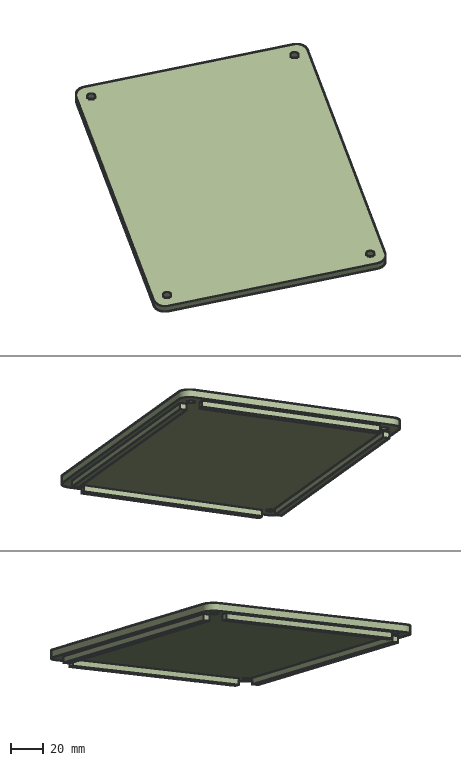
import cadquery as cq

plate_length = 192.0
plate_width = 148.0
plate_thickness = 5.0
overall_height = 9.0
corner_radius = 7.1

hole_diameter = 5.0
hole_inset = 9.0

rib_height = overall_height - plate_thickness
rib_thickness = 4.2
rib_edge_gap = 3.6
long_rib_length = 165.1
short_rib_length = 119.8


def make_plate():
    """Rounded rectangular plate with a through hole at each corner."""
    return (
        cq.Workplane("XY")
        .rect(plate_length, plate_width)
        .extrude(plate_thickness)
        .edges("|Z")
        .fillet(corner_radius)
        .faces(">Z")
        .workplane()
        .rect(plate_length - 2 * hole_inset, plate_width - 2 * hole_inset, forConstruction=True)
        .vertices()
        .hole(hole_diameter)
    )


def make_rib(x, y, size_x, size_y):
    """Straight rib hanging below the plate, centred at (x, y)."""
    return cq.Workplane("XY").center(x, y).rect(size_x, size_y).extrude(-rib_height)


rib_inset = rib_edge_gap + rib_thickness / 2
rib_x = plate_length / 2 - rib_inset
rib_y = plate_width / 2 - rib_inset

result = make_plate()
for side in (-1, 1):
    result = result.union(make_rib(0, side * rib_y, long_rib_length, rib_thickness))
    result = result.union(make_rib(side * rib_x, 0, rib_thickness, short_rib_length))